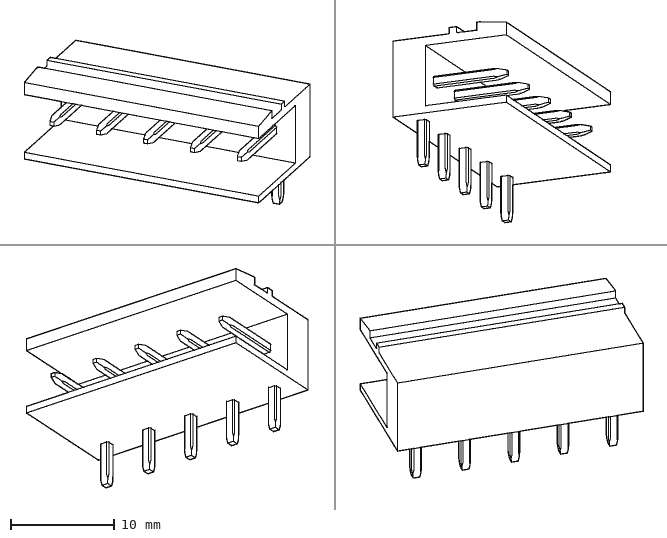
import cadquery as cq


length = 25.0
pin_count = 5
pitch = length / pin_count

depth = 12.05
height = 7.72
back_wall = 3.45
floor_thickness = 0.72
roof_thickness = 0.88

rib_front = 5.28
rib_width = 0.8
rib_height = 0.62
rib_root_radius = 0.1

latch_depth = 3.15
latch_land = 0.32
latch_rise_back = 0.8
latch_rise_front = 0.42

pin_width = 1.0
pin_chamfer = 0.162
contact_height = 3.82
contact_front = 0.95
contact_tip_length = 1.28
contact_tip_width = 0.42
tail_from_front = 9.92
tail_length = 4.48
tail_tip_length = 0.95
tail_tip_width = 0.68


def make_housing_block():
    """C-shaped profile in the YZ plane, extruded along the row."""
    wall_face = depth - back_wall
    rib_back = rib_front + rib_width
    rib_top = height + rib_height
    latch_top = height + latch_rise_back
    profile = [
        (0, 0),
        (depth, 0),
        (depth, height),
        (rib_back, height),
        (rib_back, rib_top),
        (rib_front, rib_top),
        (rib_front, height),
        (latch_depth, height),
        (latch_depth, latch_top),
        (latch_depth - latch_land, latch_top),
        (0, height + latch_rise_front),
        (0, height - roof_thickness),
        (wall_face, height - roof_thickness),
        (wall_face, floor_thickness),
        (0, floor_thickness),
    ]
    block = cq.Workplane("YZ").polyline(profile).close().extrude(length / 2, both=True)

    for root_y in (rib_front, rib_back):
        root = cq.selectors.NearestToPointSelector((0, root_y, height))
        block = block.edges(root).fillet(rib_root_radius)
    return block


def make_leg(leg_length, tip_length, tip_width):
    """Straight square bar along +Z with chamfered edges and a tapered tip at its top."""
    shank_length = leg_length - tip_length
    bar = (
        cq.Workplane("XY")
        .rect(pin_width, pin_width)
        .extrude(leg_length)
        .edges("|Z")
        .chamfer(pin_chamfer)
    )
    shank = cq.Workplane("XY").rect(pin_width, pin_width).extrude(shank_length)
    tip = (
        cq.Workplane("XY", origin=(0, 0, shank_length))
        .rect(pin_width, pin_width)
        .workplane(offset=tip_length)
        .rect(tip_width, tip_width)
        .loft(ruled=True)
    )
    return bar.intersect(shank.union(tip))


def make_pin(x):
    """Bent pin: a contact leg pointing forward and a tail pointing down, joined inside the wall."""
    bend_back = tail_from_front + pin_width / 2
    bend_top = contact_height + pin_width / 2
    contact = (
        make_leg(bend_back - contact_front, contact_tip_length, contact_tip_width)
        .rotate((0, 0, 0), (1, 0, 0), 90)
        .translate((x, bend_back, contact_height))
    )
    tail = (
        make_leg(bend_top + tail_length, tail_tip_length, tail_tip_width)
        .rotate((0, 0, 0), (1, 0, 0), 180)
        .translate((x, tail_from_front, bend_top))
    )
    return contact.union(tail).solids()


pins = []
for i in range(pin_count):
    pin_x = (i - (pin_count - 1) / 2) * pitch
    pins.append(make_pin(pin_x))

housing = make_housing_block()
for pin in pins:
    housing = housing.cut(pin)
housing = housing.solids()

result = cq.Compound.makeCompound([housing.val(), *[pin.val() for pin in pins]])